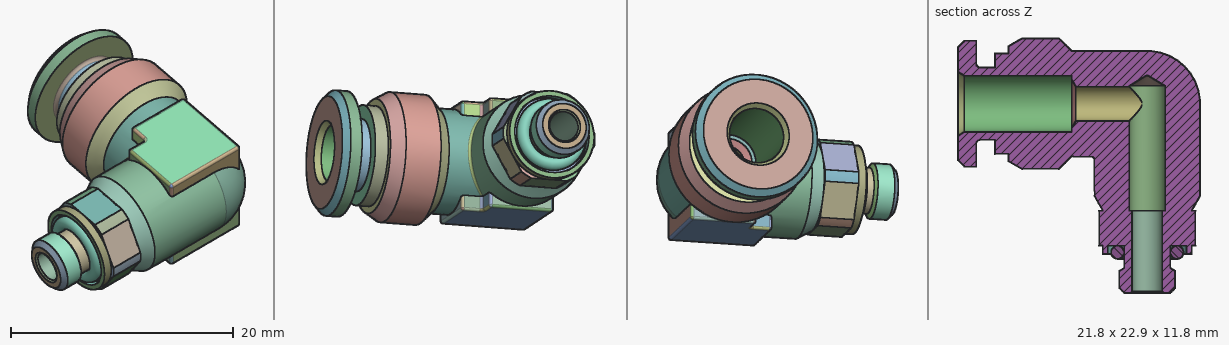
import cadquery as cq
import math


end_distance = 17.0
elbow_radius = 4.75
inner_corner_fillet = 0.23

pad_height = 5.03
pad_inner_reach = 5.0
pad_outer_reach = 3.07
pad_notch_reach = 3.02
pad_fillet = 0.25

flange_radius = 5.67
flange_chamfer = 0.6
flange_length = 1.67
flange_root_fillet = 0.32
neck_radius = 3.27
sleeve_start = 3.32
sleeve_radius = 4.53
collar_start = 4.53
collar_front_radius = 5.17
collar_radius = 5.88
collar_full_start = 5.77
collar_full_end = 9.08
collar_end = 10.23

drill_tip_half_angle = math.radians(59)

tube_bore_radius = 2.52
tube_mouth_radius = 2.88
tube_mouth_depth = 0.57
tube_stop_depth = collar_end
funnel_radius = 2.15
socket_passage_radius = 1.53

thread_radius = 2.52
thread_chamfer = 0.45
thread_length = 2.01
stem_neck_radius = 2.08
stem_neck_start = 2.27
seat_start = 3.5
seat_radius = 4.0
hex_start = 4.28
hex_end = 7.41
hex_across_flats = 2 * seat_radius
hex_corner_radius = 4.35
taper_end = 8.75

stem_bore_radius = 1.35
stem_mouth_chamfer = 0.15
elbow_bore_radius = 1.6

ring_section_radius = 0.6
ring_centre_radius = stem_neck_radius + ring_section_radius
ring_centre_height = 3.65
groove_radius = 3.52
groove_depth_end = ring_centre_height + ring_section_radius


def turned_on_x(points):
    """Revolve (distance from the socket end, radius) points about the X axis."""
    profile = cq.Workplane("XY").polyline([(d - end_distance, r) for d, r in points]).close()
    return profile.revolve(360, (0, 0, 0), (1, 0, 0))


def turned_on_y(points):
    """Revolve (radius, distance from the threaded end) points about the Y axis."""
    profile = cq.Workplane("XY").polyline([(r, d - end_distance) for r, d in points]).close()
    return profile.revolve(360, (0, 0, 0), (0, 1, 0))


def make_elbow():
    """Two equal legs joined by a quarter ball around the outside of the bend."""
    socket_leg = turned_on_x([
        (collar_end, 0),
        (collar_end, elbow_radius),
        (end_distance, elbow_radius),
        (end_distance, 0),
    ])
    stem_leg = turned_on_y([
        (0, hex_end),
        (seat_radius, hex_end),
        (elbow_radius, taper_end),
        (elbow_radius, end_distance),
        (0, end_distance),
    ])
    half_disc = (
        cq.Workplane("XZ")
        .moveTo(0, -elbow_radius)
        .threePointArc((elbow_radius, 0), (0, elbow_radius))
        .close()
    )
    bend = half_disc.revolve(90, (0, 0, 0), (0, 1, 0))
    return socket_leg.union(stem_leg).union(bend)


def make_grip_pads():
    """One L-shaped block whose two ends stand out of the elbow as pads."""
    outline = [
        (-pad_inner_reach, pad_outer_reach),
        (pad_outer_reach, pad_outer_reach),
        (pad_outer_reach, -pad_inner_reach),
        (-pad_notch_reach, -pad_inner_reach),
        (-pad_notch_reach, -pad_notch_reach),
        (-pad_inner_reach, -pad_notch_reach),
    ]
    block = cq.Workplane("XY").polyline(outline).close().extrude(pad_height, both=True)
    return block.edges().fillet(pad_fillet)


def make_socket():
    """Release flange, neck, sleeve and bulged collar."""
    socket = turned_on_x([
        (0, 0),
        (0, flange_radius - flange_chamfer),
        (flange_chamfer, flange_radius),
        (flange_length, flange_radius),
        (flange_length, neck_radius),
        (sleeve_start, neck_radius),
        (sleeve_start, sleeve_radius),
        (collar_start, sleeve_radius),
        (collar_start, collar_front_radius),
        (collar_full_start, collar_radius),
        (collar_full_end, collar_radius),
        (collar_end, elbow_radius),
        (collar_end, 0),
    ])
    neck_edges = socket.edges("%CIRCLE").edges(cq.selectors.RadiusNthSelector(0))
    return neck_edges.edges("<X").fillet(flange_root_fillet)


def make_stem():
    """Threaded end, neck, seat with the ring groove, and hexagon."""
    turned_stem = turned_on_y([
        (0, 0),
        (thread_radius - thread_chamfer, 0),
        (thread_radius, thread_chamfer),
        (thread_radius, thread_length),
        (stem_neck_radius, stem_neck_start),
        (stem_neck_radius, groove_depth_end),
        (groove_radius, groove_depth_end),
        (groove_radius, seat_start),
        (seat_radius, seat_start),
        (seat_radius, hex_start),
        (0, hex_start),
    ])
    hex_plane = cq.Workplane("XZ", origin=(0, hex_end - end_distance, 0))
    hex_length = hex_end - hex_start
    corner_diameter = hex_across_flats / math.cos(math.pi / 6)
    hexagon = hex_plane.polygon(6, corner_diameter).extrude(hex_length)
    corner_limit = hex_plane.circle(hex_corner_radius).extrude(hex_length)
    return turned_stem.union(hexagon.intersect(corner_limit))


def make_socket_passage():
    """Tube bore with a flared mouth, tube stop and funnel down to the elbow."""
    funnel_depth = (funnel_radius - socket_passage_radius) / math.tan(drill_tip_half_angle)
    funnel_end = tube_stop_depth + funnel_depth
    return turned_on_x([
        (0, 0),
        (0, tube_mouth_radius),
        (tube_mouth_depth, tube_bore_radius),
        (tube_stop_depth, tube_bore_radius),
        (tube_stop_depth, funnel_radius),
        (funnel_end, socket_passage_radius),
        (end_distance, socket_passage_radius),
        (end_distance, 0),
    ])


def make_stem_passage():
    """Stem bore opening into the wider elbow bore, which ends in a drill tip."""
    elbow_bore_end = end_distance + elbow_bore_radius
    drill_tip_end = elbow_bore_end + elbow_bore_radius / math.tan(drill_tip_half_angle)
    return turned_on_y([
        (0, 0),
        (stem_bore_radius + stem_mouth_chamfer, 0),
        (stem_bore_radius, stem_mouth_chamfer),
        (stem_bore_radius, hex_end),
        (elbow_bore_radius, hex_end),
        (elbow_bore_radius, elbow_bore_end),
        (0, drill_tip_end),
    ])


def make_padded_elbow():
    """Elbow with its grip pads and the crease between the legs softened."""
    padded_elbow = make_elbow().union(make_grip_pads())
    crease_point = (-elbow_radius, -elbow_radius, 0)
    crease = padded_elbow.edges(cq.selectors.NearestToPointSelector(crease_point))
    return crease.fillet(inner_corner_fillet)


def make_fitting():
    """Elbow fitting: all outer shapes joined, then both passages bored."""
    outside = make_padded_elbow().union(make_socket()).union(make_stem())
    return outside.cut(make_socket_passage()).cut(make_stem_passage())


def make_sealing_ring():
    """Round-section ring resting on the stem neck and the groove floor."""
    section_centre = (ring_centre_radius, ring_centre_height - end_distance)
    section = cq.Workplane("XY").center(*section_centre).circle(ring_section_radius)
    return section.revolve(360, (-ring_centre_radius, 0, 0), (-ring_centre_radius, 1, 0))


fitting = make_fitting()
sealing_ring = make_sealing_ring()

result = cq.Compound.makeCompound([fitting.solids().val(), sealing_ring.val()])